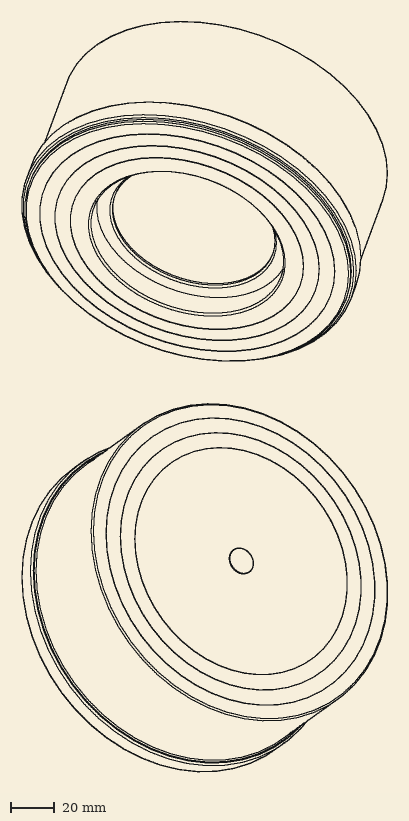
import cadquery as cq
total_length = 68.4
flange_diameter = 158.0
body_diameter = 153.9

terrace_diameters = (139.4, 124.8, 110.1)
terrace_rise = 0.28

body_front = len(terrace_diameters) * terrace_rise
body_back = 67.2
flange_front = 2.8
flange_back = 13.0

body_chamfer = 0.8
flange_chamfer = 1.0
bore_chamfer = 1.0
collar_flare = 0.6

bore_diameter = 91.0
bore_depth = 11.0
inner_bore_diameter = 76.8
inner_bore_depth = 1.9

boss_diameter = 12.5
boss_top_diameter = 12.2


def disc(diameter, start, end):
    """Solid cylinder on the Y axis between two axial positions."""
    plane = cq.Workplane("XZ", origin=(0, start, 0))
    return plane.circle(diameter / 2).extrude(start - end)


def chamfered_disc(diameter, start, end, chamfer):
    """Cylinder on the Y axis with both rims chamfered."""
    return disc(diameter, start, end).edges().chamfer(chamfer)


def bore_cutter(diameter, start, depth):
    """Cylindrical bore with a chamfered mouth, opening toward -Y."""
    radius = diameter / 2
    mouth_radius = radius + bore_chamfer
    outline = [
        (0, start),
        (mouth_radius, start),
        (radius, start + bore_chamfer),
        (radius, start + depth),
        (0, start + depth),
    ]
    return cq.Workplane("XY").polyline(outline).close().revolve(360, (0, 0, 0), (0, 1, 0))


result = chamfered_disc(body_diameter, body_front, body_back, body_chamfer)
result = result.union(chamfered_disc(flange_diameter, flange_front, flange_back, flange_chamfer))

collar_diameter = body_diameter + 2 * collar_flare
collar = disc(collar_diameter, flange_front, flange_back + collar_flare)
result = result.union(collar.faces(">Y").chamfer(collar_flare))

for step, diameter in enumerate(terrace_diameters, start=1):
    front = body_front - step * terrace_rise
    back = body_back + step * terrace_rise
    result = result.union(disc(diameter, front, back))

boss_chamfer = (boss_diameter - boss_top_diameter) / 2
boss = disc(boss_diameter, body_back, total_length).faces(">Y").chamfer(boss_chamfer)
result = result.union(boss)

result = result.cut(bore_cutter(bore_diameter, 0, bore_depth))
result = result.cut(bore_cutter(inner_bore_diameter, bore_depth, inner_bore_depth))